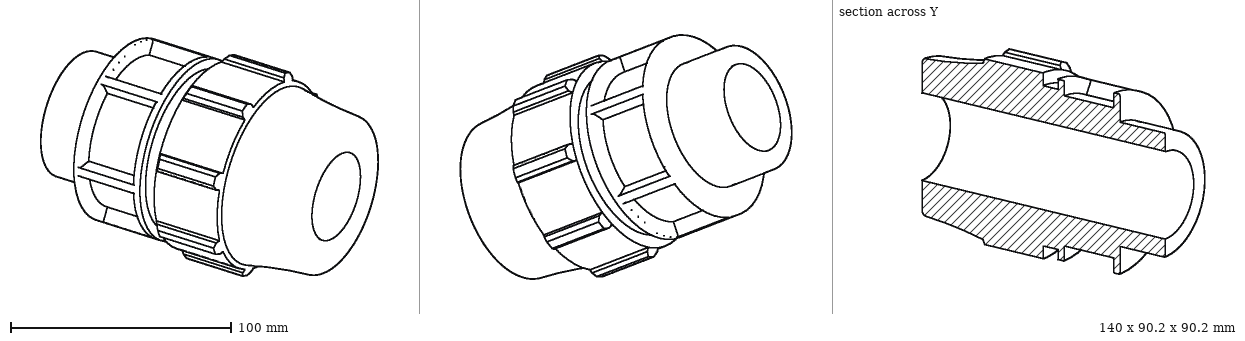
import cadquery as cq
import math

length = 140.0
flange_start = 26.0
pocket_start = 30.0
pocket_end = 58.0
flange_end = 61.9
nut_start = 70.3
nut_slope_start = 104.0
nut_end = 105.0

bore_radius = 41.7 / 2
spigot_radius = 59.6 / 2
flange_radius = 86.4 / 2
pocket_floor_radius = 36.0
neck_radius = 76.9 / 2
nut_radius = 44.5
collar_start_radius = 42.3
collar_middle_radius = 39.2
collar_end_radius = 37.7

small_round = 1.0
collar_round = 2.4

bar_count = 6
bar_width = 4.5

rib_count = 8
rib_base_width = 8.0
rib_top_width = 4.3
rib_shoulder_height = 46.0
rib_top_radius = 48.0
rib_root_height = 42.0
rib_top_start = 72.7
rib_top_end = 102.5


def cylinder(start, end, radius):
    """Solid cylinder on the X axis between two positions."""
    return cq.Workplane("YZ", origin=(start, 0, 0)).circle(radius).extrude(end - start)


def make_collar():
    """Flared, slightly hollow-sided collar behind the nut, rounded at the open end."""
    middle = ((nut_end + length) / 2, collar_middle_radius)
    return (
        cq.Workplane("XY")
        .moveTo(nut_end, 0)
        .lineTo(nut_end, collar_start_radius)
        .threePointArc(middle, (length, collar_end_radius))
        .lineTo(length, 0)
        .close()
        .revolve(360, (0, 0, 0), (1, 0, 0))
        .faces(">X")
        .edges()
        .fillet(collar_round)
    )


def make_pocket_ring():
    """Ring that is removed to form the pockets, flared where the flange edges are rounded."""
    rim = flange_radius - small_round
    outside = flange_radius + small_round
    return (
        cq.Workplane("XY")
        .moveTo(pocket_start, pocket_floor_radius)
        .lineTo(pocket_start, rim)
        .radiusArc((pocket_start - small_round, flange_radius), -small_round)
        .lineTo(pocket_start - small_round, outside)
        .lineTo(pocket_end + small_round, outside)
        .lineTo(pocket_end + small_round, flange_radius)
        .radiusArc((pocket_end, rim), -small_round)
        .lineTo(pocket_end, pocket_floor_radius)
        .close()
        .revolve(360, (0, 0, 0), (1, 0, 0))
    )


def make_pockets():
    """Pocket ring interrupted by evenly spaced lengthwise bars, one of them on the -Y side."""
    pockets = make_pocket_ring()
    bar_length = flange_end - flange_start
    bar_reach = 2 * flange_radius
    bar = cq.Workplane("XY").box(bar_length, bar_reach, bar_width)
    bar = bar.translate((flange_start + bar_length / 2, -bar_reach / 2, 0))
    for index in range(bar_count):
        pockets = pockets.cut(bar.rotate((0, 0, 0), (1, 0, 0), index * 360 / bar_count))
    return pockets


def make_nut():
    """Turned nut whose +X rim slopes down to the start of the collar."""
    return (
        cq.Workplane("XY")
        .moveTo(nut_start, 0)
        .lineTo(nut_start, nut_radius)
        .lineTo(nut_slope_start, nut_radius)
        .lineTo(nut_end, collar_start_radius)
        .lineTo(nut_end, 0)
        .close()
        .revolve(360, (0, 0, 0), (1, 0, 0))
    )


def make_rib_envelope():
    """Turned shape that gives every rib its sloped ends."""
    profile = [
        (nut_start, 0),
        (nut_start, nut_radius),
        (rib_top_start, rib_top_radius),
        (rib_top_end, rib_top_radius),
        (nut_slope_start, nut_radius),
        (nut_slope_start, 0),
    ]
    return cq.Workplane("XY").polyline(profile).close().revolve(360, (0, 0, 0), (1, 0, 0))


def make_rib():
    """One grip rib on the +Z side, bevelled along both sides."""
    half_base = rib_base_width / 2
    half_top = rib_top_width / 2
    rib_top_height = math.sqrt(rib_top_radius**2 - half_top**2)
    section = (
        cq.Workplane("YZ", origin=(nut_start, 0, 0))
        .moveTo(-half_base, rib_root_height)
        .lineTo(-half_base, rib_shoulder_height)
        .lineTo(-half_top, rib_top_height)
        .threePointArc((0, rib_top_radius), (half_top, rib_top_height))
        .lineTo(half_base, rib_shoulder_height)
        .lineTo(half_base, rib_root_height)
        .close()
    )
    return section.extrude(nut_slope_start - nut_start).intersect(make_rib_envelope())


spigot = cylinder(0, flange_start, spigot_radius).faces("<X").edges().fillet(small_round)
flanged_section = cylinder(flange_start, flange_end, flange_radius).faces("<X").edges().fillet(small_round)
neck = cylinder(flange_end, nut_start, neck_radius)

result = spigot.union(flanged_section.cut(make_pockets())).union(neck).union(make_nut()).union(make_collar())

rib = make_rib()
rib_pitch = 360 / rib_count
for index in range(rib_count):
    result = result.union(rib.rotate((0, 0, 0), (1, 0, 0), (index + 0.5) * rib_pitch))

result = result.cut(cylinder(0, length, bore_radius))